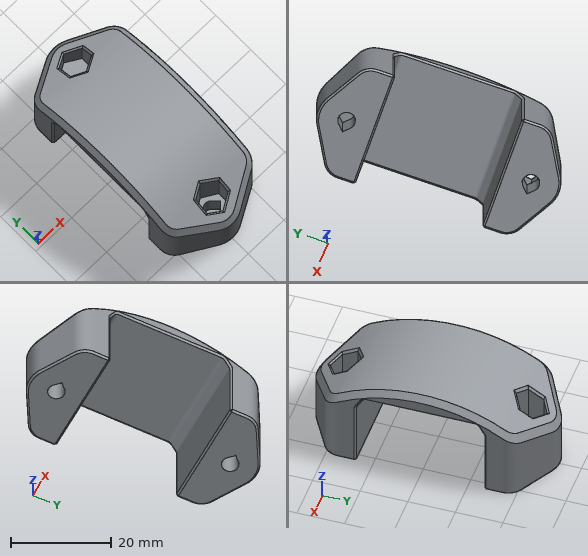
import cadquery as cq
import math

LENGTH = 51.05
WIDTH = 24.0
HEIGHT = 21.1

END_ANGLE = 30.0
TIP_RADIUS = 6.0
SHOULDER_RADIUS = 4.0

ARCH_RADIUS = 35.0
SLOPE_ANGLE = 30.0
RIM_CHAMFER = 1.2

OPENING_WIDTH = 26.95
OPENING_HEIGHT = 17.15
HAUNCH_RISE = 2.55
HAUNCH_ANGLE = 60.0
HAUNCH_RADIUS = 1.0
EDGE_CHAMFER = 0.4

POCKET_FLAT_DISTANCE = 2.8
POCKET_RELIEF = 0.5
HEXAGON_TILT = math.radians(30)
POCKET_FLOOR = 6.1
POCKET_CHAMFER = 0.45
BORE_RADIUS = 1.75

PLATE_THICKNESS = 0.5

MARGIN = 0.05

HALF_WIDTH = WIDTH / 2
END_SLOPE = math.tan(math.radians(END_ANGLE))
TIP_Y = LENGTH / 2 + TIP_RADIUS * (1 / math.cos(math.radians(END_ANGLE)) - 1)
SHOULDER_Y = TIP_Y - HALF_WIDTH * END_SLOPE
SCREW_Y = SHOULDER_Y


def plan_block():
    """Upright block with the rounded hexagonal plan."""
    corners = [
        (HALF_WIDTH, -SHOULDER_Y),
        (HALF_WIDTH, SHOULDER_Y),
        (0, TIP_Y),
        (-HALF_WIDTH, SHOULDER_Y),
        (-HALF_WIDTH, -SHOULDER_Y),
        (0, -TIP_Y),
    ]
    block = cq.Workplane("XY").polyline(corners).close().extrude(HEIGHT)
    block = block.edges("|Z").edges("<Y or >Y").fillet(TIP_RADIUS)
    return block.edges("|Z").edges("<X or >X").fillet(SHOULDER_RADIUS)


def arch_envelope():
    """Everything below the arched and sloped top surface."""
    slope = math.radians(SLOPE_ANGLE)
    crease_y = ARCH_RADIUS * math.sin(slope)
    crease_z = HEIGHT - ARCH_RADIUS * (1 - math.cos(slope))
    end_z = crease_z - (TIP_Y - crease_y) * math.tan(slope)
    return (
        cq.Workplane("YZ")
        .moveTo(-TIP_Y, 0)
        .lineTo(TIP_Y, 0)
        .lineTo(TIP_Y, end_z)
        .lineTo(crease_y, crease_z)
        .threePointArc((0, HEIGHT), (-crease_y, crease_z))
        .lineTo(-TIP_Y, end_z)
        .close()
        .extrude(HALF_WIDTH, both=True)
    )


def opening():
    """Passage along X between the two legs, bevelled under the ceiling."""
    half = OPENING_WIDTH / 2
    haunch_z = OPENING_HEIGHT - HAUNCH_RISE
    haunch_run = HAUNCH_RISE / math.tan(math.radians(HAUNCH_ANGLE))
    passage = (
        cq.Workplane("YZ")
        .polyline([
            (-half, 0),
            (half, 0),
            (half, haunch_z),
            (half - haunch_run, OPENING_HEIGHT),
            (haunch_run - half, OPENING_HEIGHT),
            (-half, haunch_z),
        ])
        .close()
        .extrude(HALF_WIDTH, both=True)
    )
    return passage.edges("|X").edges("not <Z").fillet(HAUNCH_RADIUS)


def pocket_prism(y, height):
    """Hexagonal prism standing on the pocket floor, with its +X flat moved outwards."""
    flat = POCKET_FLAT_DISTANCE
    far_flat = flat + POCKET_RELIEF
    slope = math.tan(HEXAGON_TILT)
    point = flat / math.cos(HEXAGON_TILT)
    left = point - flat * slope
    right = point - far_flat * slope
    return (
        cq.Workplane("XY", origin=(0, y, POCKET_FLOOR))
        .polyline([
            (0, point),
            (-flat, left),
            (-flat, -left),
            (0, -point),
            (far_flat, -right),
            (far_flat, right),
        ])
        .close()
        .extrude(height)
    )


def teardrop_bore(y):
    """Bore from the underside to the pocket, with a right-angled point towards +X."""
    touch = BORE_RADIUS / math.sqrt(2)
    return (
        cq.Workplane("XY", origin=(0, y, 0))
        .moveTo(touch, touch)
        .threePointArc((-BORE_RADIUS, 0), (touch, -touch))
        .lineTo(2 * touch, 0)
        .close()
        .extrude(POCKET_FLOOR)
    )


def rim_edges(body):
    """Edges shared by the upward-facing faces and the upright faces."""
    top_faces = [f for f in body.faces().vals() if f.normalAt().z > MARGIN]
    top_edges = [e for f in top_faces for e in f.Edges()]
    return [e for e in top_edges if sum(e.isSame(other) for other in top_edges) == 1]


def lip_edges(body, y):
    """Edges where the pocket walls break through the top surface."""
    reach = POCKET_FLAT_DISTANCE + POCKET_RELIEF + MARGIN
    edges = []
    for edge in body.edges("not |Z").vals():
        middle = edge.Center()
        if math.hypot(middle.x, middle.y - y) < reach and middle.z > POCKET_FLOOR + MARGIN:
            edges.append(edge)
    return edges


def make_bracket():
    """Arched bracket with two legs, chamfered all round, and a screw hole in each leg."""
    body = plan_block().intersect(arch_envelope())

    body = body.newObject(rim_edges(body)).chamfer(RIM_CHAMFER)

    body = body.cut(opening())
    mouths = body.edges(cq.selectors.BoxSelector(
        (-WIDTH, -OPENING_WIDTH / 2 - MARGIN, -MARGIN),
        (WIDTH, OPENING_WIDTH / 2 + MARGIN, OPENING_HEIGHT + MARGIN),
    )).edges("<X or >X")
    feet = body.faces("<Z").edges()
    body = body.newObject(mouths.vals() + feet.vals()).chamfer(EDGE_CHAMFER)

    for y in (-SCREW_Y, SCREW_Y):
        body = body.cut(pocket_prism(y, HEIGHT))
        body = body.newObject(lip_edges(body, y)).chamfer(POCKET_CHAMFER)
        body = body.cut(teardrop_bore(y))
    return body.solids()


def make_cover_plate():
    """Hexagonal plate filling the pocket from wall to wall."""
    return pocket_prism(SCREW_Y, PLATE_THICKNESS)


bracket = make_bracket()
cover_plate = make_cover_plate()
result = cq.Compound.makeCompound([bracket.val(), cover_plate.val()])